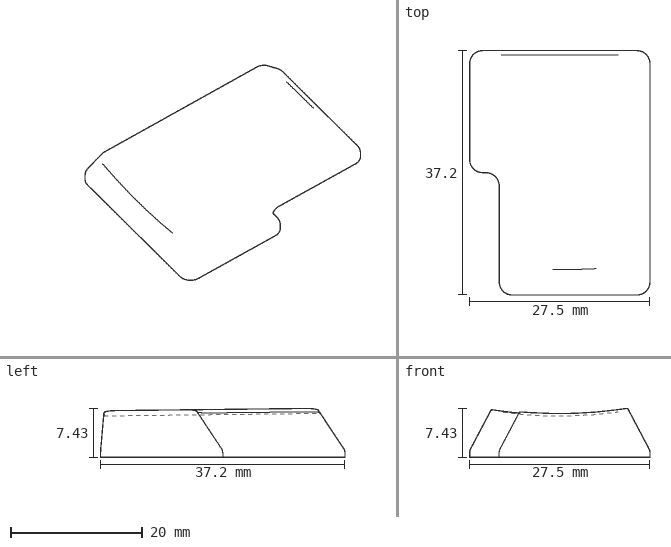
import cadquery as cq
import math

width = 27.45
length = 37.2
notch_width = 4.5
notch_length = 18.6
skirt_corner_radius = 2.0
wall_corner_radius = 1.85

side_draft = 27.8
front_draft = 33.5
back_draft = 5.0
skirt_height = 0.67
draft_start = 1.0
blank_height = 8.93

dish_radius = 64.37
dish_tilt = 0.7
dish_front_height = 6.65
dish_front_inset = 4.1
rim_fillet = 0.22


def arc_middle(start, corner, end):
    """Middle point of the quarter arc that rounds a square corner."""
    bulge = 1 / math.sqrt(2)
    return tuple(c + (s + e - 2 * c) * (1 - bulge) for s, c, e in zip(start, corner, end))


def toward(corner, target, corner_radius):
    """Point one corner radius away from a corner, along the edge to the target."""
    distance = math.dist(corner, target)
    return tuple(c + (t - c) * corner_radius / distance for c, t in zip(corner, target))


def section(z, draft_height, corner_radius):
    """Rounded L outline at height z, inset by the drafts over draft_height."""
    side_inset = draft_height * math.tan(math.radians(side_draft))
    front_inset = draft_height * math.tan(math.radians(front_draft))
    back_inset = draft_height * math.tan(math.radians(back_draft))

    left = -width / 2 + side_inset
    right = width / 2 - side_inset
    front = -length / 2 + front_inset
    back = length / 2 - back_inset
    notch_x = left + notch_width
    notch_y = front + notch_length

    corners = [
        (notch_x, front),
        (right, front),
        (right, back),
        (left, back),
        (left, notch_y),
        (notch_x, notch_y),
    ]

    edges = []
    previous_end = toward(corners[-1], corners[0], corner_radius)
    for index, corner in enumerate(corners):
        start = toward(corner, corners[index - 1], corner_radius)
        end = toward(corner, corners[(index + 1) % len(corners)], corner_radius)
        middle = arc_middle(start, corner, end)
        points = [cq.Vector(x, y, z) for x, y in (previous_end, start, middle, end)]
        edges.append(cq.Edge.makeLine(points[0], points[1]))
        edges.append(cq.Edge.makeThreePointArc(points[1], points[2], points[3]))
        previous_end = end
    return cq.Wire.assembleEdges(edges)


def make_blank():
    """Solid key body before the top is dished."""
    bend_reach = draft_start - skirt_height
    bend_top = draft_start + bend_reach
    bend_corner_radius = (skirt_corner_radius + wall_corner_radius) / 2
    base = section(0, 0, skirt_corner_radius)
    skirt_top = section(skirt_height, 0, skirt_corner_radius)
    bend_middle = section(draft_start, bend_reach / 4, bend_corner_radius)
    slope_start = section(bend_top, bend_reach, wall_corner_radius)
    slope_end = section(blank_height, blank_height - draft_start, wall_corner_radius)

    skirt = cq.Solid.makeLoft([base, skirt_top], True)
    bend = cq.Solid.makeLoft([skirt_top, bend_middle, slope_start])
    slope = cq.Solid.makeLoft([slope_start, slope_end], True)
    return cq.Workplane(skirt).union(cq.Workplane(bend)).union(cq.Workplane(slope))


def make_dish():
    """Large tilted cylinder that hollows the top."""
    front_y = -length / 2 + dish_front_inset
    tilt = math.radians(dish_tilt)
    direction = cq.Vector(0, math.cos(tilt), -math.sin(tilt))
    axis_point = cq.Vector(0, front_y, dish_front_height + dish_radius)
    start = axis_point - direction * length
    cylinder_length = 3 * length
    return cq.Workplane(cq.Solid.makeCylinder(dish_radius, cylinder_length, start, direction))


key = make_blank().cut(make_dish())
result = key.faces(">Z").edges().fillet(rim_fillet)